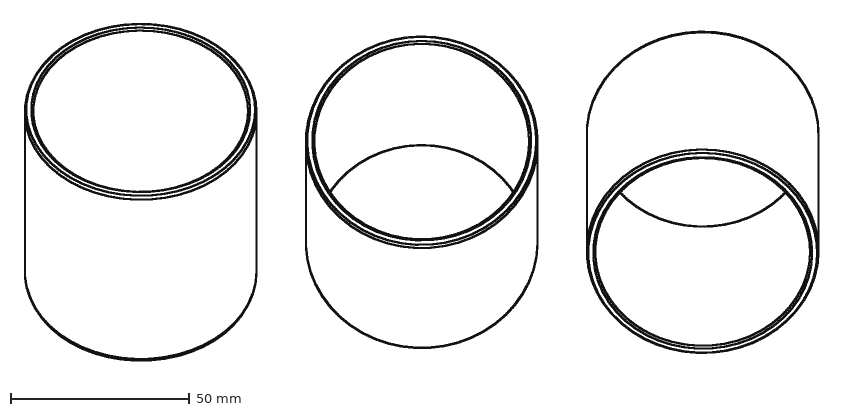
import cadquery as cq
import math

outer_diameter = 65.0
inner_diameter = 60.17
length = 70.0

outer_chamfer_axial = 1.2
outer_chamfer_angle = 20.0

inner_chamfer = 0.6

outer_radius = outer_diameter / 2
inner_radius = inner_diameter / 2
outer_chamfer_radial = outer_chamfer_axial * math.tan(math.radians(outer_chamfer_angle))
end_face_inner_radius = inner_radius + inner_chamfer
end_face_outer_radius = outer_radius - outer_chamfer_radial

wall_section = (
    cq.Workplane("XZ")
    .moveTo(inner_radius, inner_chamfer)
    .lineTo(end_face_inner_radius, 0)
    .lineTo(end_face_outer_radius, 0)
    .lineTo(outer_radius, outer_chamfer_axial)
    .lineTo(outer_radius, length - outer_chamfer_axial)
    .lineTo(end_face_outer_radius, length)
    .lineTo(end_face_inner_radius, length)
    .lineTo(inner_radius, length - inner_chamfer)
    .close()
)

result = wall_section.revolve(360, (0, 0, 0), (0, 1, 0))